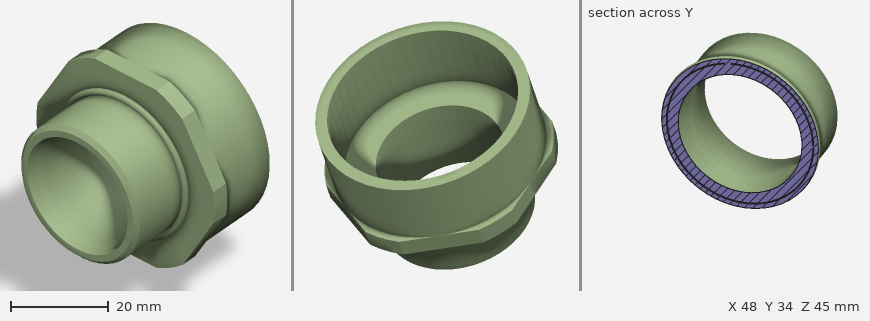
import cadquery as cq


SPIGOT_DIAMETER = 32.0
SPIGOT_LENGTH = 15.0
SPIGOT_CHAMFER = 1.0

HEX_ACROSS_FLATS = 45.0
HEX_CORNER_DIAMETER = 48.0
HEX_THICKNESS = 4.0

SOCKET_OUTER_DIAMETER = HEX_ACROSS_FLATS
SOCKET_LENGTH = 15.0

BORE_DIAMETER = 27.0
SOCKET_BORE_DIAMETER = 40.0
SOCKET_BORE_DEPTH = 16.0

RING_SECTION_DIAMETER = 1.5
RING_EMBED = 0.1

HEX_START = SPIGOT_LENGTH
SOCKET_START = HEX_START + HEX_THICKNESS
TOTAL_LENGTH = SOCKET_START + SOCKET_LENGTH
SOCKET_BORE_START = TOTAL_LENGTH - SOCKET_BORE_DEPTH


def section_at(y):
    """Sketch plane at the given Y, facing +Y, with its local X along Z."""
    return cq.Workplane(cq.Plane(origin=(0, y, 0), xDir=(0, 0, 1), normal=(0, 1, 0)))


def cylinder(diameter, start, length):
    """Cylinder on the Y axis, from start toward +Y."""
    return section_at(start).circle(diameter / 2).extrude(length)


def spigot():
    """Plain tube end with a chamfered rim."""
    return cylinder(SPIGOT_DIAMETER, 0, SPIGOT_LENGTH).faces("<Y").chamfer(SPIGOT_CHAMFER)


def hex_flange():
    """Hexagon with flats facing +Z and -Z and its corners rounded to a circle."""
    outline = section_at(HEX_START).polygon(6, HEX_ACROSS_FLATS, circumscribed=True)
    hexagon = outline.extrude(HEX_THICKNESS)
    return hexagon.intersect(cylinder(HEX_CORNER_DIAMETER, HEX_START, HEX_THICKNESS))


def socket():
    """Round outside of the socket end."""
    return cylinder(SOCKET_OUTER_DIAMETER, SOCKET_START, SOCKET_LENGTH)


def sealing_ring():
    """Round-section ring around the spigot, seated against the flange."""
    section_radius = RING_SECTION_DIAMETER / 2
    offset = section_radius - RING_EMBED
    center = cq.Vector(0, HEX_START - offset, 0)
    axis = cq.Vector(0, 1, 0)
    return cq.Workplane(cq.Solid.makeTorus(SPIGOT_DIAMETER / 2 + offset, section_radius, center, axis))


def stepped_bore():
    """Through bore that widens inside the socket."""
    through_bore = cylinder(BORE_DIAMETER, 0, TOTAL_LENGTH)
    socket_bore = cylinder(SOCKET_BORE_DIAMETER, SOCKET_BORE_START, SOCKET_BORE_DEPTH)
    return through_bore.union(socket_bore)


body = spigot().union(hex_flange()).union(socket()).union(sealing_ring())
result = body.cut(stepped_bore())